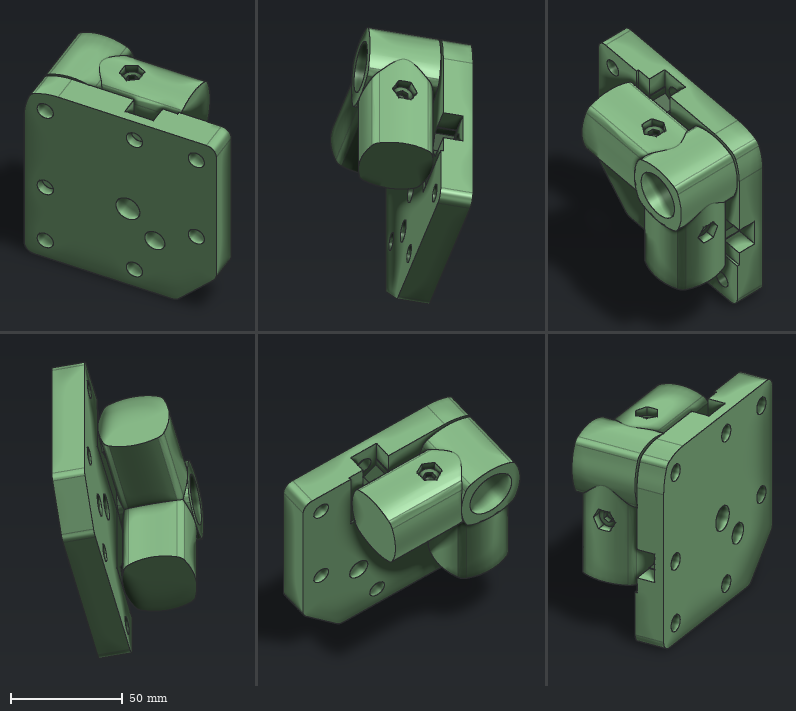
import cadquery as cq
import math

plate_side = 97.0
plate_thickness = 15.0
plate_corner_radius = 5.0
plate_cut = 20.3
plate_bulge_radius = 30.6
plate_bulge_run = 17.2

bracket_depth = 33.0
barrel_width = 32.8
arm_width = 33.0
bulge_radius = 27.5
bulge_corner_radius = 5.5
bore_radius = 11.6
top_arm_drop = 0.8
left_arm_drop = 0.4
arm_length = 69.6

bolt_hole_radius = 4.1
hole_near = 10.7
hole_middle = 55.7
hole_far = 86.9
centre_hole_radius = 6.0
centre_hole_place = 52.4
offset_hole_radius = 5.0
offset_hole_place = 66.0

slot_width = 13.6
slot_mouth_width = 14.4
slot_floor = 4.8

recess_depth = 1.2
recess_length = 70.4
recess_width = 31.0
recess_inner_radius = 1.6

screw_place = 38.6
head_sink = 4.85
head_radius = 4.9
head_height = 6.0
head_pocket_width = 9.9
shank_radius = 3.0
shank_length = 16.0
socket_width = 5.1
socket_depth = 2.9
socket_tip_depth = 1.5

barrel_middle = barrel_width / 2
bracket_middle_y = plate_thickness + bracket_depth / 2
recess_floor = plate_thickness - recess_depth
head_seat_depth = head_sink + head_height
hex_turn = 30
hex_sides = 6
corners_per_width = 1 / math.cos(math.pi / hex_sides)


def corner_plane(y):
    """Plane parallel to the plate, measured to the right and downwards from its top left corner."""
    return cq.Workplane(cq.Plane(origin=(0, y, plate_side), xDir=(1, 0, 0), normal=(0, 1, 0)))


def other_arm(shape):
    """Copy of a shape of the arm along X, mirrored to the arm along -Z."""
    turned = shape.rotate((0, 0, plate_side), (0, 1, plate_side), 90)
    return turned.mirror("YZ")


def bulge_corner(run, radius):
    """Inset of the corner where two bulged sides meet, each starting to curve at `run` from it."""
    reach = run + radius
    return (reach - math.sqrt(reach**2 - 2 * run**2)) / 2


def bulged_prism(plane, width, length):
    """Square prism about the plane's origin, with bulged sides and rounded corners."""
    half = width / 2
    corner = half - bulge_corner(half, bulge_radius)
    outline = plane.moveTo(-corner, corner)
    outline = outline.threePointArc((0, half), (corner, corner))
    outline = outline.threePointArc((half, 0), (corner, -corner))
    outline = outline.threePointArc((0, -half), (-corner, -corner))
    outline = outline.threePointArc((-half, 0), (-corner, corner)).close()
    prism = outline.extrude(length)
    long_edges = cq.selectors.ParallelDirSelector(plane.plane.zDir)
    return prism.edges(long_edges).fillet(bulge_corner_radius)



def make_blank():
    """Plate outline: a cut corner at the bottom right and a bulged corner at the top left."""
    cut_end = plate_side - plate_cut
    corners = [(0, 0), (plate_side, 0), (plate_side, cut_end), (cut_end, plate_side), (0, plate_side)]
    blank = corner_plane(0).polyline(corners).close().extrude(plate_thickness)
    blank = blank.edges("|Y and (not (<X and >Z))").fillet(plate_corner_radius)

    corner = bulge_corner(plate_bulge_run, plate_bulge_radius)
    half_turn = math.asin((plate_bulge_run - corner) / plate_bulge_radius) / 2
    mid_run = plate_bulge_run - plate_bulge_radius * math.sin(half_turn)
    mid_rise = plate_bulge_radius * (1 - math.cos(half_turn))
    rounded = corner_plane(0).moveTo(plate_bulge_run, 0)
    rounded = rounded.threePointArc((mid_run, mid_rise), (corner, corner))
    rounded = rounded.threePointArc((mid_rise, mid_run), (0, plate_bulge_run))
    rounded = rounded.lineTo(0, plate_side).lineTo(plate_side, plate_side).lineTo(plate_side, 0)
    rounded = rounded.close().extrude(plate_thickness)
    corner_edge = cq.selectors.NearestToPointSelector((corner, plate_thickness / 2, plate_side - corner))
    return blank.intersect(rounded.edges(corner_edge).fillet(plate_corner_radius))


def make_holes():
    bolt_places = [
        (x, drop)
        for x in (hole_near, hole_middle, hole_far)
        for drop in (hole_near, hole_middle, hole_far)
        if (x, drop) not in [(hole_middle, hole_middle), (hole_far, hole_far)]
    ]
    holes = corner_plane(0).pushPoints(bolt_places).circle(bolt_hole_radius).extrude(plate_thickness)
    diagonal_holes = [(centre_hole_place, centre_hole_radius), (offset_hole_place, offset_hole_radius)]
    for place, radius in diagonal_holes:
        hole = corner_plane(0).center(place, place).circle(radius).extrude(plate_thickness)
        holes = holes.union(hole)
    return holes


def make_nut_slot():
    """Slot from the top edge that ends in the lower half of a hexagon about the middle hole."""
    slot_depth = recess_floor - slot_floor
    seat = corner_plane(slot_floor).center(hole_middle, hole_near).transformed(rotate=(0, 0, hex_turn))
    seat = seat.polygon(hex_sides, slot_width * corners_per_width).extrude(slot_depth)
    mouth = corner_plane(slot_floor).center(hole_middle, hole_near / 2).rect(slot_mouth_width, hole_near)
    return seat.union(mouth.extrude(slot_depth))


def make_recess():
    """L-shaped recess, open at the top and left edges, with its inner corner rounded."""
    arm = corner_plane(recess_floor).rect(recess_length, recess_width, centered=False).extrude(recess_depth)
    recess = arm.union(other_arm(arm))
    inner = (recess_width, recess_floor + recess_depth / 2, plate_side - recess_width)
    return recess.edges(cq.selectors.NearestToPointSelector(inner)).fillet(recess_inner_radius)


def make_plate():
    slot = make_nut_slot()
    return make_blank().cut(make_holes()).cut(slot).cut(other_arm(slot)).cut(make_recess())



def make_head_pocket():
    """Hexagonal pocket in the arm along X, with a corner towards the plate, and its shank hole."""
    top = cq.Workplane("XY", origin=(screw_place, bracket_middle_y, plate_side))
    pocket = top.transformed(rotate=(0, 0, hex_turn)).polygon(hex_sides, head_pocket_width * corners_per_width)
    pocket = pocket.extrude(-head_seat_depth)
    shank = top.circle(shank_radius).extrude(-head_seat_depth - shank_length)
    return pocket.union(shank)


def make_arm(drop):
    """Arm along X whose crown lies `drop` below the crown of the barrel."""
    start = cq.Plane(
        origin=(barrel_middle, bracket_middle_y, plate_side - drop - arm_width / 2),
        xDir=(0, 1, 0),
        normal=(1, 0, 0),
    )
    return bulged_prism(cq.Workplane(start), arm_width, arm_length - barrel_middle)


def make_bracket():
    barrel_plane = corner_plane(plate_thickness).center(barrel_middle, barrel_middle)
    barrel = bulged_prism(barrel_plane, barrel_width, bracket_depth)
    bore = corner_plane(plate_thickness).center(barrel_middle, barrel_middle)
    bore = bore.circle(bore_radius).extrude(bracket_depth)
    pocket = make_head_pocket()
    bracket = barrel.union(make_arm(top_arm_drop)).union(other_arm(make_arm(left_arm_drop)))
    return bracket.cut(bore).cut(pocket).cut(other_arm(pocket))



def make_screw(socket_turn):
    """Socket head screw of the arm along X; `socket_turn` turns its hexagonal socket."""
    head_top = cq.Workplane("XY", origin=(screw_place, bracket_middle_y, plate_side - head_sink))
    head = head_top.circle(head_radius).extrude(-head_height)
    shank = head_top.circle(shank_radius).extrude(-head_height - shank_length)
    socket = head_top.transformed(rotate=(0, 0, socket_turn))
    socket = socket.polygon(hex_sides, socket_width * corners_per_width).extrude(-socket_depth)
    tip_start = cq.Vector(screw_place, bracket_middle_y, plate_side - head_sink - socket_depth)
    tip = cq.Solid.makeCone(socket_width / 2, 0, socket_tip_depth, tip_start, cq.Vector(0, 0, -1))
    return head.union(shank).cut(socket).cut(cq.Workplane(tip))


plate = make_plate()
bracket = make_bracket()
top_screw = make_screw(hex_turn)
left_screw = other_arm(make_screw(0))
result = cq.Compound.makeCompound([plate.val(), bracket.val(), top_screw.val(), left_screw.val()])